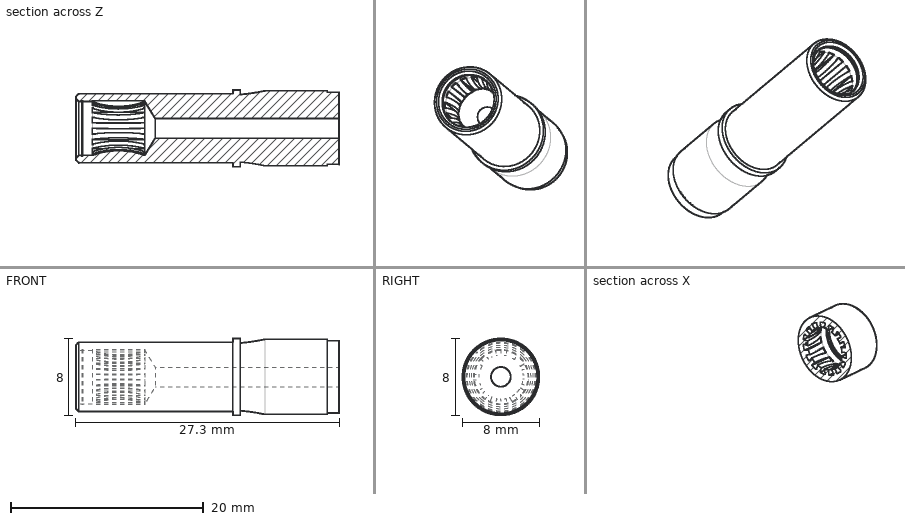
import cadquery as cq
import math

length = 27.3
flange_start = 16.3
flange_end = 17.05
flare_end = 19.6
grip_end = 26.1

sleeve_radius = 3.6
flange_radius = 8.0 / 2
neck_radius = 3.52
grip_radius = 3.9
tail_radius = 3.77
tip_chamfer = 0.3
flare_sag = 0.04

mouth_radius = 3.08
mouth_chamfer = 0.3
lip_length = 0.3
groove_width = 0.1
bore_radius = mouth_radius - mouth_chamfer
relief_depth = 0.08
relief_radius = bore_radius + relief_depth
contact_start = 1.7
throat_radius = 2.3
contact_length = 5.45
cone_angle = 118.0
wire_hole_radius = 1.0

finger_count = 15
finger_width = 0.57
root_overlap = 0.08
first_finger_angle = 180


def outer_body():
    """Turned outside: sleeve, flange, curved flare, grip and stepped tail."""
    flare_middle = (
        (flange_end + flare_end) / 2,
        (neck_radius + grip_radius) / 2 - flare_sag,
    )
    return (
        cq.Workplane("XY")
        .moveTo(0, 0)
        .lineTo(0, sleeve_radius - tip_chamfer)
        .lineTo(tip_chamfer, sleeve_radius)
        .lineTo(flange_start, sleeve_radius)
        .lineTo(flange_start, flange_radius)
        .lineTo(flange_end, flange_radius)
        .lineTo(flange_end, neck_radius)
        .threePointArc(flare_middle, (flare_end, grip_radius))
        .lineTo(grip_end, grip_radius)
        .lineTo(grip_end, tail_radius)
        .lineTo(length, tail_radius)
        .lineTo(length, 0)
        .close()
        .revolve(360, (0, 0, 0), (1, 0, 0))
    )


def socket_cavity():
    """Chamfered mouth, snap groove, finger chamber, conical floor and wire hole."""
    groove_start = mouth_chamfer + lip_length
    groove_end = groove_start + groove_width
    chamber_end = contact_start + contact_length
    cone_depth = (bore_radius - wire_hole_radius) / math.tan(math.radians(cone_angle / 2))
    return (
        cq.Workplane("XY")
        .moveTo(0, 0)
        .lineTo(0, mouth_radius)
        .lineTo(mouth_chamfer, bore_radius)
        .lineTo(groove_start, bore_radius)
        .lineTo(groove_start, relief_radius)
        .lineTo(groove_end, relief_radius)
        .lineTo(groove_end, bore_radius)
        .lineTo(contact_start, bore_radius)
        .lineTo(contact_start, relief_radius)
        .lineTo(chamber_end, relief_radius)
        .lineTo(chamber_end, bore_radius)
        .lineTo(chamber_end + cone_depth, wire_hole_radius)
        .lineTo(length, wire_hole_radius)
        .lineTo(length, 0)
        .close()
        .revolve(360, (0, 0, 0), (1, 0, 0))
    )


def contact_finger():
    """One bowed finger on the +Y side, standing on the chamber wall."""
    contact_end = contact_start + contact_length
    contact_middle = contact_start + contact_length / 2
    root_radius = relief_radius + root_overlap
    bowed_ring = (
        cq.Workplane("XY")
        .moveTo(contact_start, root_radius)
        .lineTo(contact_start, bore_radius)
        .threePointArc((contact_middle, throat_radius), (contact_end, bore_radius))
        .lineTo(contact_end, root_radius)
        .close()
        .revolve(360, (0, 0, 0), (1, 0, 0))
    )
    blade = (
        cq.Workplane("XY")
        .box(contact_length, root_radius, finger_width, centered=(False, False, True))
        .translate((contact_start, 0, 0))
    )
    return bowed_ring.intersect(blade)


result = outer_body().cut(socket_cavity())
finger = contact_finger()
for index in range(finger_count):
    angle = first_finger_angle + index * 360 / finger_count
    result = result.union(finger.rotate((0, 0, 0), (1, 0, 0), angle))